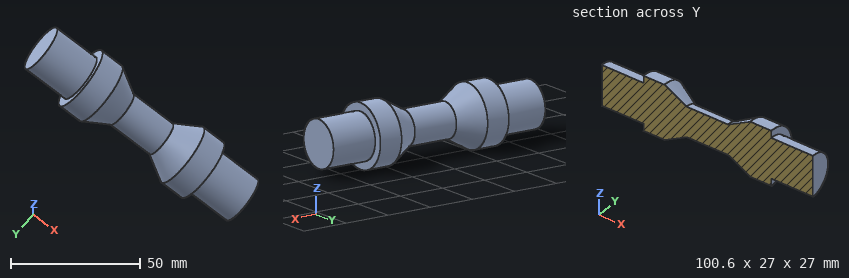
import cadquery as cq

total_length = 100.6
journal_length = 19.8
journal_diameter = 20.0
collar_length = 10.1
collar_diameter = 27.0
neck_length = 19.7
neck_diameter = 15.0

end_x = total_length / 2
collar_outer_x = end_x - journal_length
collar_inner_x = collar_outer_x - collar_length
neck_end_x = neck_length / 2

journal_radius = journal_diameter / 2
collar_radius = collar_diameter / 2
neck_radius = neck_diameter / 2

right_outline = [
    (neck_end_x, neck_radius),
    (collar_inner_x, collar_radius),
    (collar_outer_x, collar_radius),
    (collar_outer_x, journal_radius),
    (end_x, journal_radius),
    (end_x, 0),
]
left_outline = [(-x, radius) for x, radius in reversed(right_outline)]

result = (
    cq.Workplane("XZ")
    .polyline(left_outline + right_outline)
    .close()
    .revolve(360, (0, 0, 0), (1, 0, 0))
)